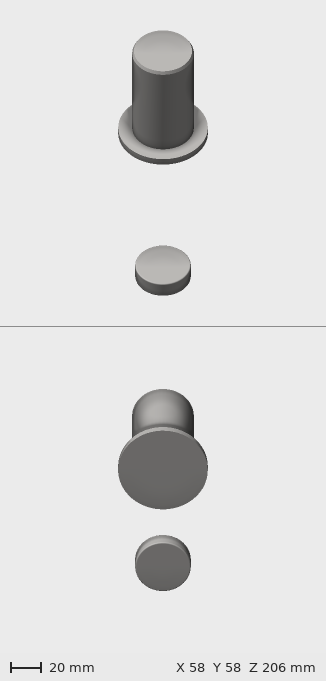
import cadquery as cq

total_height = 206.0

flange_diameter = 58.0
flange_thickness = 5.0
pin_diameter = 40.0
pin_height = 75.0
pin_chamfer_height = 2.0
pin_chamfer_inset = 1.15

disc_diameter = 36.0
disc_height = 11.0
disc_rim_radius = 0.8

pin_base_z = total_height - pin_height


def make_flanged_pin():
    """Round pin with a chamfered top, standing on a thin flange."""
    flange = cq.Workplane("XY").circle(flange_diameter / 2).extrude(flange_thickness)
    shank = cq.Workplane("XY").circle(pin_diameter / 2).extrude(pin_height)
    shank = shank.faces(">Z").chamfer(pin_chamfer_height, pin_chamfer_inset)
    return flange.union(shank).translate((0, 0, pin_base_z))


def make_disc():
    """Short disc with both rims rounded."""
    disc = cq.Workplane("XY").circle(disc_diameter / 2).extrude(disc_height)
    return disc.faces("<Z or >Z").fillet(disc_rim_radius)


flanged_pin = make_flanged_pin()
disc = make_disc()

result = cq.Compound.makeCompound([flanged_pin.val(), disc.val()])